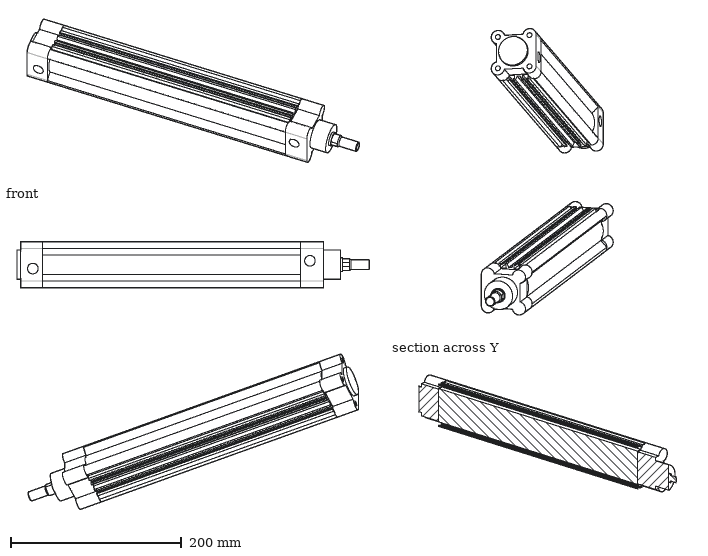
import cadquery as cq
import math

overall_length = 413.0
rear_cap_start = 4.0
tube_start = 30.0
tube_end = 332.0
front_cap_end = 359.5
collar_end = 379.0

section_size = 54.0
half_section = section_size / 2
bolt_offset = 19.0
lobe_radius = half_section - bolt_offset

cap_flat_offset = 20.5
collar_radius = 17.5
bolt_hole_radius = 3.0
bolt_hole_depth = 16.5
port_radius = 6.0
port_depth = 12.5
rear_port_x = 18.5
front_port_x = 343.0
port_height = 4.5

barrel_radius = 22.7
flank_foot = 11.5
slot_floor = 21.5
slot_near_side = 6.0
slot_far_side = 10.5
lip_height = 1.5
lip_overhang = 1.2
outer_rib_end = 13.5
channel_half_floor = 1.5
channel_half_mouth = 3.7

shoulder_radius = 8.3
shoulder_length = 2.5
neck_radius = 7.0
neck_length = 8.0
neck_flat_offset = 6.5
taper_length = 1.5
thread_radius = 5.8
thread_chamfer = 1.0

corner_signs = [(y, z) for y in (-1, 1) for z in (-1, 1)]


def bar(start, end, y_min, y_max, z_min, z_max):
    """Rectangular bar between two stations along X."""
    size = (end - start, y_max - y_min, z_max - z_min)
    return cq.Workplane("XY").box(*size, centered=False).translate((start, y_min, z_min))


def rod_along_x(start, end, radius, y=0, z=0):
    """Round bar parallel to X."""
    return cq.Workplane("YZ", origin=(start, y, z)).circle(radius).extrude(end - start)


def corner_lobes(body, start, end):
    """Add the four round corner lobes to a body."""
    for y_sign, z_sign in corner_signs:
        lobe = rod_along_x(start, end, lobe_radius, y_sign * bolt_offset, z_sign * bolt_offset)
        body = body.union(lobe)
    return body


def make_cap(start, end, port_x, port_z):
    """Cap block with corner lobes, a full flat -Y face and a blind port in it."""
    core = bar(start, end, -cap_flat_offset, cap_flat_offset, -cap_flat_offset, cap_flat_offset)
    port_face = bar(start, end, -half_section, 0, -bolt_offset, bolt_offset)
    cap = corner_lobes(core.union(port_face), start, end)
    port = (
        cq.Workplane("XZ", origin=(port_x, -half_section, port_z))
        .circle(port_radius)
        .extrude(-port_depth)
    )
    return cap.cut(port)


def make_rear_cap():
    cap = make_cap(rear_cap_start, tube_start, rear_port_x, -port_height)
    cap = cap.union(rod_along_x(0, rear_cap_start, collar_radius))
    hole_end = rear_cap_start + bolt_hole_depth
    for y_sign, z_sign in corner_signs:
        hole = rod_along_x(
            rear_cap_start, hole_end, bolt_hole_radius, y_sign * bolt_offset, z_sign * bolt_offset
        )
        cap = cap.cut(hole)
    return cap


def make_front_cap():
    cap = make_cap(tube_end, front_cap_end, front_port_x, port_height)
    return cap.union(rod_along_x(front_cap_end, collar_end, collar_radius))


def tube_corner(y_sign, z_sign):
    """Corner with a round outer side and sloping flanks down to the barrel."""
    barrel_side = math.sqrt(barrel_radius**2 - flank_foot**2)
    arc_middle = bolt_offset + lobe_radius * math.sqrt(0.5)

    def corner(y, z):
        return (y_sign * y, z_sign * z)

    return (
        cq.Workplane("YZ", origin=(tube_start, 0, 0))
        .lineTo(*corner(barrel_side, flank_foot))
        .lineTo(*corner(half_section, bolt_offset))
        .threePointArc(corner(arc_middle, arc_middle), corner(bolt_offset, half_section))
        .lineTo(*corner(flank_foot, barrel_side))
        .close()
        .extrude(tube_end - tube_start)
    )


def along_tube(outline):
    """Extrude a closed (Y, Z) outline over the length of the tube."""
    return (
        cq.Workplane("YZ", origin=(tube_start, 0, 0))
        .polyline(outline)
        .close()
        .extrude(tube_end - tube_start)
    )


def inner_rib():
    """Rib with a sloped face towards the centre channel and a lip over the slot."""
    lip_underside = half_section - lip_height
    stem_side = slot_near_side - lip_overhang
    return along_tube([
        (channel_half_floor, 0),
        (channel_half_floor, barrel_radius),
        (channel_half_mouth, half_section),
        (slot_near_side, half_section),
        (slot_near_side, lip_underside),
        (stem_side, lip_underside),
        (stem_side, 0),
    ])


def outer_rib():
    """Upright rib with a lip over the slot."""
    lip_underside = half_section - lip_height
    stem_side = slot_far_side + lip_overhang
    return along_tube([
        (outer_rib_end, 0),
        (outer_rib_end, half_section),
        (slot_far_side, half_section),
        (slot_far_side, lip_underside),
        (stem_side, lip_underside),
        (stem_side, 0),
    ])


def sensor_slot():
    """Space cleared above the slot floor, before the ribs are added."""
    return bar(tube_start, tube_end, channel_half_floor, outer_rib_end, slot_floor, half_section)


def on_all_four(body):
    """Copies of a body reflected in the XY and XZ planes."""
    pair = [body, body.mirror("XZ")]
    return pair + [copy.mirror("XY") for copy in pair]


def make_tube():
    tube = rod_along_x(tube_start, tube_end, barrel_radius)
    for y_sign, z_sign in corner_signs:
        tube = tube.union(tube_corner(y_sign, z_sign))
    tube = tube.union(
        bar(tube_start, tube_end, -outer_rib_end, outer_rib_end, -slot_floor, slot_floor)
    )
    for slot in on_all_four(sensor_slot()):
        tube = tube.cut(slot)
    for rib in (inner_rib(), outer_rib()):
        for copy in on_all_four(rib):
            tube = tube.union(copy)
    return tube


def make_rod():
    """Rod turned about X, with two wrench flats on its neck."""
    neck_start = collar_end + shoulder_length
    neck_end = neck_start + neck_length
    rod = (
        cq.Workplane("XY")
        .moveTo(collar_end, 0)
        .lineTo(collar_end, shoulder_radius)
        .lineTo(neck_start, shoulder_radius)
        .lineTo(neck_start, neck_radius)
        .lineTo(neck_end, neck_radius)
        .lineTo(neck_end + taper_length, thread_radius)
        .lineTo(overall_length - thread_chamfer, thread_radius)
        .lineTo(overall_length, thread_radius - thread_chamfer)
        .lineTo(overall_length, 0)
        .close()
        .revolve(360, (0, 0, 0), (1, 0, 0))
    )
    for y_min, y_max in (
        (-shoulder_radius, -neck_flat_offset),
        (neck_flat_offset, shoulder_radius),
    ):
        rod = rod.cut(bar(neck_start, neck_end, y_min, y_max, -neck_radius, neck_radius))
    return rod


rear_cap = make_rear_cap()
tube = make_tube()
front_cap = make_front_cap()
piston_rod = make_rod()

result = cq.Compound.makeCompound(
    [rear_cap.val(), tube.val(), front_cap.val(), piston_rod.val()]
)